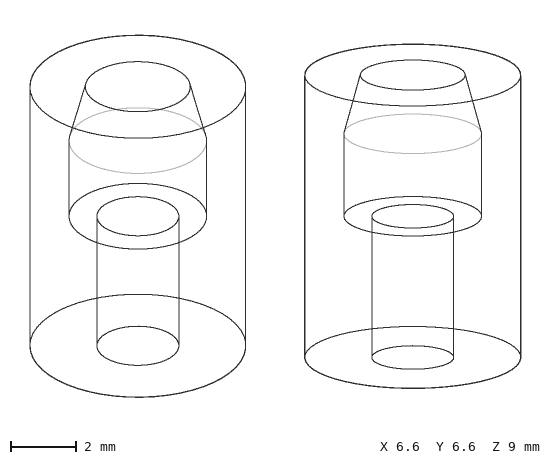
import cadquery as cq

length = 9.0
outer_diameter = 6.6
bore_diameter = 2.5
mouth_diameter = 3.2
chamber_diameter = 4.2
flare_depth = 1.87

ledge_height = length / 2
flare_height = length - flare_depth

sleeve = cq.Workplane("XY").circle(outer_diameter / 2).extrude(length)

hole = (
    cq.Workplane("XZ")
    .lineTo(bore_diameter / 2, 0)
    .lineTo(bore_diameter / 2, ledge_height)
    .lineTo(chamber_diameter / 2, ledge_height)
    .lineTo(chamber_diameter / 2, flare_height)
    .lineTo(mouth_diameter / 2, length)
    .lineTo(0, length)
    .close()
    .revolve(360, (0, 0, 0), (0, 1, 0))
)

result = sleeve.cut(hole)